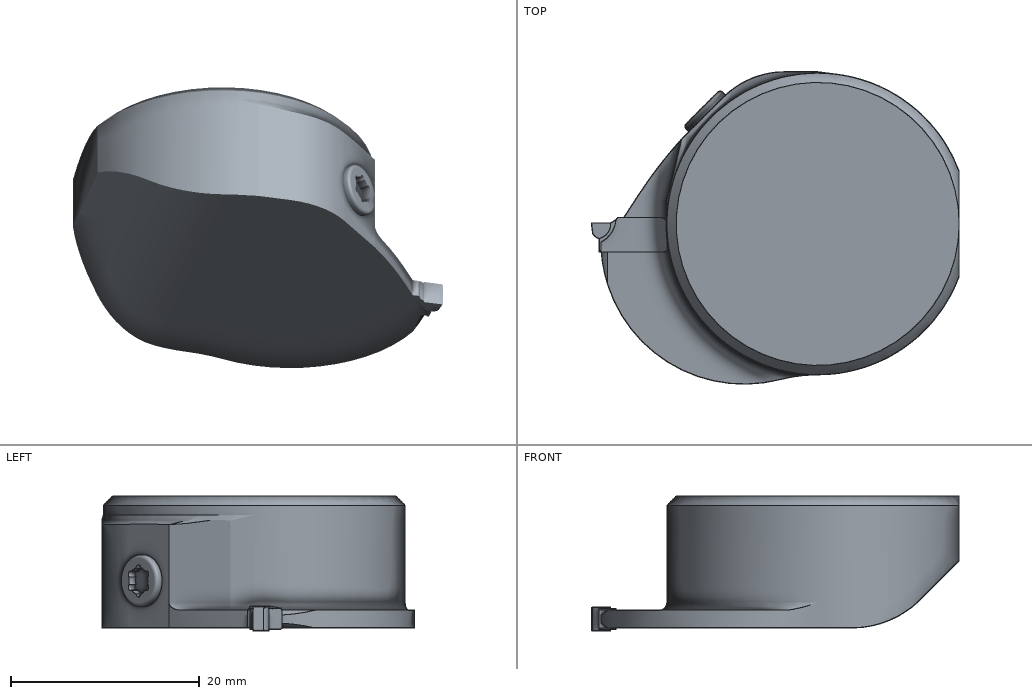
import cadquery as cq
import math


body_radius = 16.0
body_height = 14.0
rim_chamfer = 1.0
back_flat_x = 15.0

relief_radius = 10.3
relief_corner_z = 7.12
relief_corner_x = back_flat_x - relief_corner_z
relief_slope = math.radians(45)
relief_tangent = relief_radius * math.tan(relief_slope / 2)

cos45 = math.sqrt(0.5)
flat_distance = 16.57
flat_start_y = 9.02
flat_start = (flat_start_y - flat_distance / cos45, flat_start_y)
flat_end_y = 13.43
flat_end = (flat_end_y - flat_distance / cos45, flat_end_y)
side_wall_top = (-body_radius, 2.5)
shoulder_radius = 9.24
shoulder_top_z = 11.95
shoulder_fillet = 1.0

plate_thickness = 1.88
plate_fillet = 0.8
edge_tolerance = 0.01
plate_radius = 15.2
blend_radius = 16.0
blend_length = 4.0
jaw_tip_x = -20.55
jaw_bend = (-19.15, 2.85)
nose_bevel_width = 0.68
nose_bevel_depth = 0.5

screw_diameter = 5.5
screw_height = 0.8
screw_z = 5.0
screw_edge_fillet = 0.35
screw_root = 1.4
socket_core_radius = 1.42
socket_lobe_radius = 0.35
socket_lobe_circle = 1.35
socket_lobe_count = 6
socket_depth = 1.0

insert_low_y = -2.97
insert_high_y = 0.69
insert_nose_x = -22.95
insert_nose_top_x = -21.2
insert_end_x = -14.0
tip_x = -24.0
tip_y = 0.12
tip_overhang = 0.32
collar_overhang = 0.16
flank_end = (-23.87, -1.0)
flank_hollow = (-23.57, -1.36)
neck = (-23.18, -1.56)
rake_middle = (-22.2, -0.85)
rake_end = (-21.94, tip_y)
collar_low = (insert_nose_x, -1.92)
collar_middle = (-21.8, -0.82)
collar_high = (-21.38, 0.47)
tip_corner_fillet = 0.15

clearance_height = 0.45
clearance_taper = 0.3


def polar(center, radius, angle):
    return (center[0] + radius * math.cos(angle), center[1] + radius * math.sin(angle))


def disc(radius, height):
    return cq.Workplane("XY").circle(radius).extrude(height)


def shoulder_outline():
    """Outline of the screw shoulder, closed through the body axis."""
    center = (flat_end[0] + shoulder_radius * cos45, flat_end[1] - shoulder_radius * cos45)
    top_y = center[1] + shoulder_radius
    tangent_angle = math.pi / 2 - math.acos(body_radius / top_y)
    arc_middle = polar(center, shoulder_radius, math.radians((135 + 90) / 2))
    return (
        cq.Workplane("XY")
        .moveTo(0, 0)
        .lineTo(-body_radius, 0)
        .lineTo(*side_wall_top)
        .lineTo(*flat_start)
        .lineTo(*flat_end)
        .threePointArc(arc_middle, (center[0], top_y))
        .lineTo(0, top_y)
        .lineTo(*polar((0, 0), body_radius, tangent_angle))
        .close()
    )


def plate_outline():
    """Outline of the side plate, closed through the body axis."""
    blend_center = (0, -body_radius - blend_radius)
    blend_angle = math.pi / 2 + math.asin(blend_length / blend_radius)
    blend_end = polar(blend_center, blend_radius, blend_angle)
    blend_middle = polar(blend_center, blend_radius, (math.pi / 2 + blend_angle) / 2)
    plate_center = polar(blend_center, blend_radius + plate_radius, blend_angle)
    nose_angle = math.pi + math.asin((plate_center[1] - insert_low_y) / plate_radius)
    start_angle = blend_angle + math.pi
    plate_middle = polar(plate_center, plate_radius, (nose_angle + start_angle) / 2)
    plate_end = polar(plate_center, plate_radius, nose_angle)
    return (
        cq.Workplane("XY")
        .moveTo(0, 0)
        .lineTo(0, -body_radius)
        .threePointArc(blend_middle, blend_end)
        .threePointArc(plate_middle, plate_end)
        .lineTo(jaw_tip_x, insert_high_y)
        .lineTo(*jaw_bend)
        .tangentArcPoint(flat_start, relative=False)
        .close()
    )


def round_body():
    return disc(body_radius, body_height).faces(">Z").chamfer(rim_chamfer)


def shoulder():
    """Shoulder whose top runs into the body wall through a hollow fillet."""
    outer_radius = body_radius + shoulder_fillet
    fillet_center = (outer_radius, shoulder_top_z)
    fillet_middle = polar(fillet_center, shoulder_fillet, math.radians(225))
    envelope = (
        cq.Workplane("XZ")
        .moveTo(0, 0)
        .lineTo(outer_radius, 0)
        .lineTo(outer_radius, shoulder_top_z - shoulder_fillet)
        .threePointArc(fillet_middle, (body_radius, shoulder_top_z))
        .lineTo(0, shoulder_top_z)
        .close()
        .revolve(360, (0, 0, 0), (0, 1, 0))
    )
    return shoulder_outline().extrude(shoulder_top_z).intersect(envelope)


def plate():
    """Side plate with a hollow fillet that follows the body wall and stops at the plate edge."""
    fillet_top = plate_thickness + plate_fillet
    wall = disc(body_radius, body_height).union(shoulder_outline().extrude(body_height))
    foot = disc(2 * body_radius, plate_thickness).union(wall)
    foot_reach = 1.5 * body_radius
    foot_edges = cq.selectors.BoxSelector(
        (-foot_reach, -foot_reach, plate_thickness - edge_tolerance),
        (foot_reach, foot_reach, plate_thickness + edge_tolerance),
    )
    foot = foot.edges(foot_edges).fillet(plate_fillet)
    return plate_outline().extrude(fillet_top).intersect(foot)


def insert_seat():
    """Seat that the insert shank fills."""
    return (
        cq.Workplane("XY")
        .box(insert_end_x - tip_x, insert_high_y - insert_low_y, plate_thickness, centered=False)
        .translate((tip_x, insert_low_y, 0))
    )


def seat_clearance():
    """Slot with sloped sides that clears the plate fillet just above the insert."""
    top_z = plate_thickness + clearance_height
    return (
        cq.Workplane("YZ", origin=(tip_x, 0, 0))
        .polyline(
            [
                (insert_low_y, plate_thickness),
                (insert_high_y, plate_thickness),
                (insert_high_y - clearance_taper, top_z),
                (insert_low_y + clearance_taper, top_z),
            ]
        )
        .close()
        .extrude(-body_radius - tip_x)
    )


def nose_bevels():
    """Wedges that thin the plate edge just below the insert nose."""
    edge_x = insert_nose_x + nose_bevel_width
    slope = nose_bevel_depth / nose_bevel_width
    drop = slope * (edge_x - tip_x)
    wedges = cq.Workplane("XZ")
    for face_z, inward in ((0, 1), (plate_thickness, -1)):
        wedges = wedges.polyline(
            [(edge_x, face_z), (tip_x, face_z), (tip_x, face_z + inward * drop)]
        ).close()
    return wedges.extrude(body_radius)


def underside_relief():
    arc_start = (relief_corner_x - relief_tangent, 0)
    arc_end = (relief_corner_x + relief_tangent * cos45, relief_tangent * cos45)
    arc_middle = polar((arc_start[0], relief_radius), relief_radius, relief_slope / 2 - math.pi / 2)
    far_x = 2 * body_radius
    return (
        cq.Workplane("XZ")
        .moveTo(*arc_start)
        .threePointArc(arc_middle, arc_end)
        .lineTo(back_flat_x, relief_corner_z)
        .lineTo(back_flat_x, body_height)
        .lineTo(far_x, body_height)
        .lineTo(far_x, 0)
        .close()
        .extrude(2 * body_radius, both=True)
    )


def screw_plane(distance):
    """Plane square to the screw axis at the given distance from the body axis."""
    return cq.Plane(
        origin=(-distance * cos45, distance * cos45, screw_z),
        xDir=(1, 1, 0),
        normal=(-1, 1, 0),
    )


def screw_head():
    return (
        cq.Workplane(screw_plane(flat_distance - screw_root))
        .circle(screw_diameter / 2)
        .extrude(screw_root + screw_height)
        .faces(cq.selectors.DirectionMinMaxSelector(cq.Vector(-1, 1, 0)))
        .edges()
        .fillet(screw_edge_fillet)
    )


def screw_socket():
    plane = screw_plane(flat_distance + screw_height)
    core = cq.Workplane(plane).circle(socket_core_radius).extrude(-socket_depth)
    lobes = (
        cq.Workplane(plane)
        .polarArray(socket_lobe_circle, 90, 360, socket_lobe_count)
        .circle(socket_lobe_radius)
        .extrude(-socket_depth)
    )
    return core.union(lobes)


def make_head():
    side_plate = plate().cut(seat_clearance()).cut(nose_bevels())
    head = round_body().union(shoulder()).union(side_plate)
    head = head.cut(underside_relief()).cut(insert_seat())
    return head.union(screw_head()).cut(screw_socket())


def insert_layer(outline, overhang):
    """Slab of the insert that stands out by the overhang above and below the plate."""
    return outline.close().extrude(plate_thickness + 2 * overhang).translate((0, 0, -overhang))


def insert_shank():
    outline = (
        cq.Workplane("XY")
        .moveTo(insert_nose_x, insert_low_y)
        .lineTo(*collar_low)
        .threePointArc(collar_middle, collar_high)
        .lineTo(insert_nose_top_x, insert_high_y)
        .lineTo(insert_end_x, insert_high_y)
        .lineTo(insert_end_x, insert_low_y)
    )
    return insert_layer(outline, 0)


def insert_collar():
    outline = (
        cq.Workplane("XY")
        .moveTo(insert_nose_x, insert_low_y)
        .lineTo(*collar_low)
        .threePointArc(collar_middle, collar_high)
        .lineTo(*rake_end)
        .lineTo(*neck)
        .lineTo(neck[0], insert_low_y)
    )
    collar = insert_layer(outline, collar_overhang)
    return collar.faces("<Y").edges("<Z or >Z").chamfer(collar_overhang)


def insert_tip():
    outline = (
        cq.Workplane("XY")
        .moveTo(tip_x, tip_y)
        .lineTo(*flank_end)
        .threePointArc(flank_hollow, neck)
        .threePointArc(rake_middle, rake_end)
    )
    return insert_layer(outline, tip_overhang).faces("<X").edges("<Z or >Z").fillet(tip_corner_fillet)


def make_insert():
    return insert_shank().union(insert_collar()).union(insert_tip())


head = make_head()
insert = make_insert()

result = cq.Compound.makeCompound([head.solids().val(), insert.solids().val()])